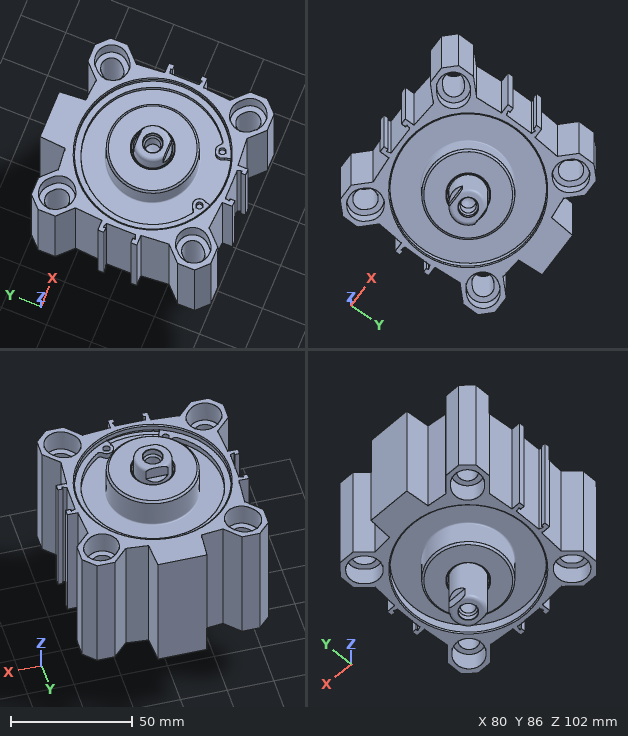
import cadquery as cq
import math


housing_height = 56.7
housing_half_width = 40.0
lug_corner_chamfer = 5.1
lug_flat_end = 27.2
lug_foot_height = 33.6
lug_foot = lug_flat_end - (housing_half_width - lug_foot_height)
wall_crown = 34.5

rail_outer = 8.7
rail_tip = 39.0
hook_inner = 6.0
hook_underside = 36.8
slot_undercut = 7.0
slot_root = 6.4
slot_floor = 35.0

block_face = 46.0
block_face_half_width = 10.5
block_root_half_width = 11.3

mount_offset = 30.3
mount_slot_stretch = 1.5
mount_hole_diameter = 9.0
counterbore_diameter = 14.0
counterbore_depth = 10.2

bore_diameter = 63.0
seat_diameter = 64.7
seat_depth = 14.3
seat_chamfer = 0.5

cover_recess = 5.5
collar_projection = 8.1
collar_diameter = 38.5
collar_chamfer = 0.9
collar_fillet = 0.66
rod_hole_diameter = 16.5
wiper_recess_diameter = 17.7
wiper_recess_depth = 1.2
wiper_recess_chamfer = 0.4

ring_thickness = 2.8
ring_outer_diameter = 68.2
ring_inner_diameter = 59.3
ring_hole_diameter = 3.0
ring_hole_x = 12.6
ring_hole_y = -25.9
ring_eye_radius = 3.0
ring_blend_radius = 1.6
edge_pick_margin = 0.3

rod_diameter = 16.0
rod_top = 43.6
rod_length = 102.0
rod_end_fillet = 1.7
flat_spacing = 13.0
flat_length = 5.5
thread_diameter = 8.3
thread_depth = 2.9
thread_mouth_diameter = 8.6
drill_diameter = 6.6
drill_depth = 12.2
drill_point_angle = 140.0

housing_top = housing_height / 2
cover_face = housing_top - cover_recess
seat_floor = housing_top - seat_depth
collar_top = housing_top + collar_projection
rod_bottom = rod_top - rod_length


def cylinder(diameter, bottom, top):
    return cq.Workplane("XY").workplane(offset=bottom).circle(diameter / 2).extrude(top - bottom)


def cone(bottom_diameter, top_diameter, bottom, top):
    return cq.Workplane(
        cq.Solid.makeCone(bottom_diameter / 2, top_diameter / 2, top - bottom, cq.Vector(0, 0, bottom))
    )


def mirrored_down(shape):
    return shape.mirror("XY")


def housing_outline():
    flank_end = housing_half_width - lug_corner_chamfer
    half_lug = [
        (lug_foot, lug_foot_height),
        (lug_flat_end, housing_half_width),
        (flank_end, housing_half_width),
    ]
    lug = half_lug + [(y, x) for x, y in reversed(half_lug)]
    half_rail = [
        (rail_outer, wall_crown),
        (rail_outer, rail_tip),
        (hook_inner, rail_tip),
        (hook_inner, hook_underside),
        (slot_undercut, hook_underside),
        (slot_root, slot_floor),
    ]
    rail = half_rail + [(-x, y) for x, y in reversed(half_rail)]
    block = [
        (-block_root_half_width, wall_crown),
        (-block_face_half_width, block_face),
        (block_face_half_width, block_face),
        (block_root_half_width, wall_crown),
    ]

    right_side = lug + [(y, x) for x, y in rail] + [(x, -y) for x, y in reversed(lug)]
    bottom_side = [(x, -y) for x, y in rail]
    left_side = [(-x, y) for x, y in reversed(right_side)]
    return block + right_side + bottom_side + left_side


def mount_hole_tool():
    """Cutter for one mounting hole, stretched along X and counterbored from both ends."""

    def slot(width, bottom, top):
        sketch = cq.Workplane("XY").workplane(offset=bottom)
        return sketch.slot2D(width + mount_slot_stretch, width).extrude(top - bottom)

    through_slot = slot(mount_hole_diameter, -housing_top, housing_top)
    counterbore = slot(counterbore_diameter, housing_top - counterbore_depth, housing_top)
    return through_slot.union(counterbore).union(mirrored_down(counterbore))


def cover_seat_tool():
    mouth_diameter = seat_diameter + 2 * seat_chamfer
    mouth = cone(seat_diameter, mouth_diameter, housing_top - seat_chamfer, housing_top)
    return cylinder(seat_diameter, seat_floor, housing_top).union(mouth)


def make_housing():
    housing = (
        cq.Workplane("XY")
        .workplane(offset=-housing_top)
        .polyline(housing_outline())
        .close()
        .extrude(housing_height)
    )
    housing = housing.cut(cylinder(bore_diameter, -housing_top, housing_top))
    seat = cover_seat_tool()
    housing = housing.cut(seat).cut(mirrored_down(seat))
    ring_groove = cylinder(ring_outer_diameter, cover_face, cover_face + ring_thickness)
    housing = housing.cut(ring_groove)
    hole = mount_hole_tool()
    hole = hole.translate((math.hypot(mount_offset, mount_offset), 0, 0))
    for angle in (45, 135, 225, 315):
        housing = housing.cut(hole.rotate((0, 0, 0), (0, 0, 1), angle))
    return housing


def make_cover():
    """Upper cover: a flange disc in the bore seat and a collar round the rod, in one turned shape."""
    collar_radius = collar_diameter / 2
    recess_radius = wiper_recess_diameter / 2
    fillet_centre_radius = collar_radius + collar_fillet
    fillet_centre_z = cover_face + collar_fillet
    fillet_reach = collar_fillet * math.sqrt(0.5)
    section = (
        cq.Workplane("XZ")
        .moveTo(rod_hole_diameter / 2, seat_floor)
        .lineTo(seat_diameter / 2, seat_floor)
        .lineTo(seat_diameter / 2, cover_face)
        .lineTo(fillet_centre_radius, cover_face)
        .threePointArc(
            (fillet_centre_radius - fillet_reach, fillet_centre_z - fillet_reach),
            (collar_radius, fillet_centre_z),
        )
        .lineTo(collar_radius, collar_top - collar_chamfer)
        .lineTo(collar_radius - collar_chamfer, collar_top)
        .lineTo(recess_radius + wiper_recess_chamfer, collar_top)
        .lineTo(recess_radius, collar_top - wiper_recess_chamfer)
        .lineTo(recess_radius, collar_top - wiper_recess_depth)
        .lineTo(rod_hole_diameter / 2, collar_top - wiper_recess_depth)
        .close()
    )
    return section.revolve(360, (0, 0, 0), (0, 1, 0))


def eye_blend_edges():
    """Selector for the two upright corner edges where an eye meets the inside of the band."""
    eye_distance = math.hypot(ring_hole_x, ring_hole_y)
    inner_radius = ring_inner_diameter / 2
    cosine = (eye_distance**2 + inner_radius**2 - ring_eye_radius**2) / (2 * eye_distance * inner_radius)
    corner_angle = math.atan2(ring_hole_x, -ring_hole_y) + math.acos(cosine)
    corner_x = inner_radius * math.sin(corner_angle)
    corner_y = -inner_radius * math.cos(corner_angle)
    return cq.selectors.BoxSelector(
        (-corner_x - edge_pick_margin, corner_y - edge_pick_margin, -housing_top),
        (corner_x + edge_pick_margin, corner_y + edge_pick_margin, housing_top),
    )


def make_ring():
    """Open ring in the upper groove, with a drilled eye inside each end."""
    ring_top = cover_face + ring_thickness
    eye_distance = math.hypot(ring_hole_x, ring_hole_y)
    eye_angle = math.atan2(ring_hole_x, -ring_hole_y)
    end_angle = eye_angle - math.atan2(ring_eye_radius, eye_distance)
    reach = ring_outer_diameter
    gap = (
        cq.Workplane("XY")
        .workplane(offset=cover_face)
        .polyline([
            (0, 0),
            (reach * math.sin(end_angle), -reach * math.cos(end_angle)),
            (-reach * math.sin(end_angle), -reach * math.cos(end_angle)),
        ])
        .close()
        .extrude(ring_thickness)
    )
    band = cylinder(ring_outer_diameter, cover_face, ring_top)
    band = band.cut(cylinder(ring_inner_diameter, cover_face, ring_top))
    ring = band.cut(gap)
    for x in (-ring_hole_x, ring_hole_x):
        eye = cylinder(2 * ring_eye_radius, cover_face, ring_top).translate((x, ring_hole_y, 0))
        ring = ring.union(eye)
    ring = ring.edges(eye_blend_edges()).fillet(ring_blend_radius)
    for x in (-ring_hole_x, ring_hole_x):
        hole = cylinder(ring_hole_diameter, cover_face, ring_top).translate((x, ring_hole_y, 0))
        ring = ring.cut(hole)
    return ring


def flats_tool(end):
    """Cutter for both wrench flats; each flat runs out to the rod surface at 45 degrees."""
    flat = flat_spacing / 2
    runout = rod_diameter / 2 - flat
    profile = [
        (flat, end),
        (flat, end - flat_length),
        (flat + 2 * runout, end - flat_length - 2 * runout),
        (flat + 2 * runout, end),
    ]
    tool = cq.Workplane("YZ").polyline(profile).close().extrude(rod_diameter / 2, both=True)
    return tool.union(tool.mirror("XZ"))


def threaded_hole_tool(end):
    point_height = drill_diameter / 2 / math.tan(math.radians(drill_point_angle / 2))
    mouth_depth = (thread_mouth_diameter - thread_diameter) / 2
    step_depth = (thread_diameter - drill_diameter) / 2
    outline = [
        (0, end),
        (thread_mouth_diameter / 2, end),
        (thread_diameter / 2, end - mouth_depth),
        (thread_diameter / 2, end - thread_depth),
        (drill_diameter / 2, end - thread_depth - step_depth),
        (drill_diameter / 2, end - drill_depth),
        (0, end - drill_depth - point_height),
    ]
    return cq.Workplane("XZ").polyline(outline).close().revolve(360, (0, 0, 0), (0, 1, 0))


def make_rod():
    rod = cylinder(rod_diameter, rod_bottom, rod_top).edges().fillet(rod_end_fillet)
    rod = rod.cut(flats_tool(rod_top)).cut(threaded_hole_tool(rod_top))
    lower_end = flats_tool(-rod_bottom).union(threaded_hole_tool(-rod_bottom))
    return rod.cut(mirrored_down(lower_end))


housing = make_housing()
ring = make_ring()
rod = make_rod()

covers = []
for turn in (0, 180):
    covers.append(make_cover().rotate((0, 0, 0), (1, 0, 0), turn))

result = cq.Compound.makeCompound(
    [housing.val(), *[cover.val() for cover in covers], ring.val(), rod.val()]
)